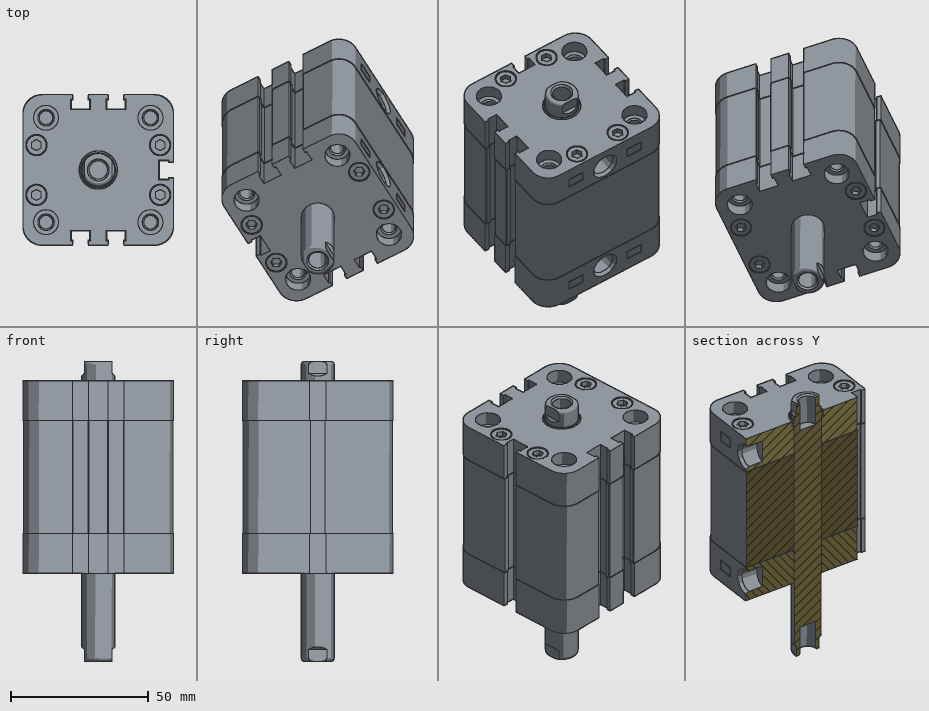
import cadquery as cq
import math

LOWER_ROD_REACH = 32.0
CAP_HEIGHT = 14.5
BARREL_HEIGHT = 41.0
UPPER_ROD_REACH = 7.0
LOWER_CAP_FACE_Z = LOWER_ROD_REACH
BARREL_Z = LOWER_CAP_FACE_Z + CAP_HEIGHT
UPPER_CAP_Z = BARREL_Z + BARREL_HEIGHT
UPPER_CAP_FACE_Z = UPPER_CAP_Z + CAP_HEIGHT
ROD_LENGTH = UPPER_CAP_FACE_Z + UPPER_ROD_REACH

CAP_SIDE = 54.8
CAP_CORNER_RADIUS = 7.0
BARREL_INSET = 0.2
SLOT_OFFSET = 6.4
SLOT_NECK_WIDTH = 5.3
SLOT_WIDTH = 6.6
SLOT_NECK_DEPTH = 2.0
SLOT_DEPTH = 5.2
CAP_SLOT_CLEARANCE = 0.27
SLOT_MOUTH_CHAMFER = 0.3

ROD_DIAMETER = 12.0
ROD_END_ROUND = 1.2
FLAT_SPAN = 10.0
FLAT_LENGTH = 4.4
ROD_THREAD_CORE = 6.6
ROD_THREAD_MOUTH = 8.0
ROD_THREAD_DEPTH = 12.0

MOUNT_OFFSET = 19.0
MOUNT_BORE = 9.0
MOUNT_BORE_DEPTH = 5.1
MOUNT_THREAD_CORE = 4.9
MOUNT_THREAD_MOUTH = 6.0

SCREW_X = 22.5
SCREW_Y = 9.0
SCREW_SEAT = 7.7
SCREW_HEAD = 7.5
SCREW_HEAD_TOP = 7.1
SCREW_SEAT_DEPTH = 1.1
SCREW_HEAD_DROP = 0.2
HEX_FLATS = 3.5
HEX_DEPTH = 2.2

PORT_DROP = 8.1
PORT_CORE = 8.6
PORT_MOUTH = 10.2
PORT_MOUTH_DEPTH = 1.3
PORT_FLOOR_DIAMETER = 40.0
LABEL_WIDTH = 6.1
LABEL_HEIGHT = 3.9
LABEL_DEPTH = 0.2
LABEL_OFFSET = 13.0

WIPER_DIAMETER = 13.7
WIPER_SEAT_MOUTH = 14.0
WIPER_LIP_DIAMETER = 12.5
WIPER_HEIGHT = 2.2
WIPER_LIP_HEIGHT = 1.1


def cylinder(diameter, height, z=0.0):
    return cq.Workplane("XY", origin=(0, 0, z)).circle(diameter / 2).extrude(height)


def countersink(mouth, core, face_z, depth=None):
    """Cone that narrows down from mouth to core diameter from face_z, at 45 degrees unless a depth is given."""
    if depth is None:
        depth = (mouth - core) / 2
    return (
        cq.Workplane("XZ")
        .polyline([(0, face_z), (mouth / 2, face_z), (core / 2, face_z - depth), (0, face_z - depth)])
        .close()
        .revolve(360, (0, 0, 0), (0, 1, 0))
    )


def t_slot(height, clearance, mouth_chamfer=0.0):
    """T-slot along Z, cut into the face y = CAP_SIDE / 2 at x = 0."""
    face = CAP_SIDE / 2
    floor = face - SLOT_DEPTH - clearance
    shoulder = face - SLOT_NECK_DEPTH + clearance
    half_neck = SLOT_NECK_WIDTH / 2 + clearance
    half_width = SLOT_WIDTH / 2 + clearance
    slot = cq.Workplane("XY").rect(2 * half_width, shoulder - floor).extrude(height)
    slot = slot.translate((0, (shoulder + floor) / 2, 0))
    neck = cq.Workplane("XY").rect(2 * half_neck, face - floor).extrude(height)
    slot = slot.union(neck.translate((0, (face + floor) / 2, 0)))
    if mouth_chamfer:
        barrel_face = face - BARREL_INSET
        half_mouth = half_neck + mouth_chamfer
        flare = [
            (-half_mouth, barrel_face),
            (half_mouth, barrel_face),
            (half_neck, barrel_face - mouth_chamfer),
            (-half_neck, barrel_face - mouth_chamfer),
        ]
        slot = slot.union(cq.Workplane("XY").polyline(flare).close().extrude(height))
    return slot


def slotted_block(side, corner_radius, height, clearance, mouth_chamfer=0.0):
    """Rounded square block with two slots on each Y face and one on the +X face."""
    block = cq.Workplane("XY").rect(side, side).extrude(height).edges("|Z").fillet(corner_radius)
    paired_slot = t_slot(height, clearance, mouth_chamfer)
    for turn in (0, 180):
        for offset in (-SLOT_OFFSET, SLOT_OFFSET):
            block = block.cut(paired_slot.translate((offset, 0, 0)).rotate((0, 0, 0), (0, 0, 1), turn))
    return block.cut(t_slot(height, clearance).rotate((0, 0, 0), (0, 0, 1), -90))


def mount_hole():
    hole = cylinder(MOUNT_THREAD_CORE, CAP_HEIGHT)
    hole = hole.union(cylinder(MOUNT_BORE, MOUNT_BORE_DEPTH, CAP_HEIGHT - MOUNT_BORE_DEPTH))
    return hole.union(countersink(MOUNT_THREAD_MOUTH, MOUNT_THREAD_CORE, CAP_HEIGHT - MOUNT_BORE_DEPTH))


def screw_recess():
    """Ring gap round a chamfered screw head, and its hexagon socket."""
    seat_z = CAP_HEIGHT - SCREW_SEAT_DEPTH
    head = cylinder(SCREW_HEAD, SCREW_SEAT_DEPTH - SCREW_HEAD_DROP, seat_z)
    head = head.faces(">Z").chamfer((SCREW_HEAD - SCREW_HEAD_TOP) / 2)
    socket = (
        cq.Workplane("XY", origin=(0, 0, CAP_HEIGHT - HEX_DEPTH))
        .polygon(6, HEX_FLATS / math.cos(math.pi / 6))
        .extrude(HEX_DEPTH)
        .rotate((0, 0, 0), (0, 0, 1), 30)
    )
    return cylinder(SCREW_SEAT, SCREW_SEAT_DEPTH, seat_z).cut(head).union(socket)


def air_port():
    """Port cut in from the -X face, with a countersunk mouth, ending on a cylinder about the rod axis."""
    face = CAP_SIDE / 2
    port = cylinder(PORT_CORE, face).union(countersink(PORT_MOUTH, PORT_CORE, face, PORT_MOUTH_DEPTH))
    port = port.rotate((0, 0, 0), (0, 1, 0), -90).translate((0, 0, CAP_HEIGHT - PORT_DROP))
    return port.cut(cylinder(PORT_FLOOR_DIAMETER, CAP_HEIGHT))


def make_cap():
    """Cap with its inner face on z = 0 and its outer face on z = CAP_HEIGHT."""
    cap = slotted_block(CAP_SIDE, CAP_CORNER_RADIUS, CAP_HEIGHT, CAP_SLOT_CLEARANCE)
    cap = cap.cut(cylinder(ROD_DIAMETER, CAP_HEIGHT)).cut(air_port())
    for x_side in (-1, 1):
        for y_side in (-1, 1):
            cap = cap.cut(mount_hole().translate((x_side * MOUNT_OFFSET, y_side * MOUNT_OFFSET, 0)))
            cap = cap.cut(screw_recess().translate((x_side * SCREW_X, y_side * SCREW_Y, 0)))
    for y in (-LABEL_OFFSET, LABEL_OFFSET):
        pocket = cq.Workplane("XY").box(2 * LABEL_DEPTH, LABEL_WIDTH, LABEL_HEIGHT)
        cap = cap.cut(pocket.translate((-CAP_SIDE / 2, y, CAP_HEIGHT / 2)))
    return cap


def make_upper_cap():
    """Cap with a wiper seat round the rod."""
    seat = cylinder(WIPER_DIAMETER, WIPER_HEIGHT, CAP_HEIGHT - WIPER_HEIGHT)
    seat = seat.union(countersink(WIPER_SEAT_MOUTH, WIPER_DIAMETER, CAP_HEIGHT))
    return make_cap().cut(seat).translate((0, 0, UPPER_CAP_Z))


def make_lower_cap():
    """Cap without a wiper seat, turned over so that its port stays on the -X side."""
    return make_cap().rotate((0, 0, 0), (1, 0, 0), 180).translate((0, 0, BARREL_Z))


def make_barrel():
    side = CAP_SIDE - 2 * BARREL_INSET
    radius = CAP_CORNER_RADIUS - BARREL_INSET
    barrel = slotted_block(side, radius, BARREL_HEIGHT, 0.0, SLOT_MOUTH_CHAMFER)
    return barrel.cut(cylinder(ROD_DIAMETER, BARREL_HEIGHT)).translate((0, 0, BARREL_Z))


def make_wiper():
    """Ring with a lip that tapers up along the rod to the level of the cap face."""
    base = WIPER_DIAMETER / 2
    lip = WIPER_LIP_DIAMETER / 2
    inner = ROD_DIAMETER / 2
    shoulder = WIPER_HEIGHT - WIPER_LIP_HEIGHT
    profile = [(inner, 0), (base, 0), (base, shoulder), (lip, WIPER_HEIGHT), (inner, WIPER_HEIGHT)]
    ring = cq.Workplane("XZ").polyline(profile).close().revolve(360, (0, 0, 0), (0, 1, 0))
    return ring.translate((0, 0, UPPER_CAP_FACE_Z - WIPER_HEIGHT))


def rod_end_cut(side):
    """Material removed at z = 0 on one X side of a rod end: a flat with a 45 degree runout."""
    flat = side * FLAT_SPAN / 2
    rim = side * ROD_DIAMETER / 2
    outline = [(flat, 0), (flat, FLAT_LENGTH), (rim, FLAT_LENGTH + abs(rim - flat)), (rim, 0)]
    return cq.Workplane("XZ").polyline(outline).close().extrude(ROD_DIAMETER / 2, both=True)


def make_rod():
    rod = cylinder(ROD_DIAMETER, ROD_LENGTH).faces("<Z or >Z").edges().fillet(ROD_END_ROUND)
    thread = cylinder(ROD_THREAD_CORE, ROD_THREAD_DEPTH, -ROD_THREAD_DEPTH)
    thread = thread.union(countersink(ROD_THREAD_MOUTH, ROD_THREAD_CORE, 0))
    thread = thread.rotate((0, 0, 0), (1, 0, 0), 180)
    end_cut = thread.union(rod_end_cut(-1)).union(rod_end_cut(1))
    upper_cut = end_cut.mirror("XY").translate((0, 0, ROD_LENGTH))
    return rod.cut(end_cut).cut(upper_cut)


upper_cap = make_upper_cap()
lower_cap = make_lower_cap()
barrel = make_barrel()
wiper = make_wiper()
rod = make_rod()

result = cq.Compound.makeCompound(
    [upper_cap.val(), lower_cap.val(), barrel.val(), wiper.val(), rod.val()]
)